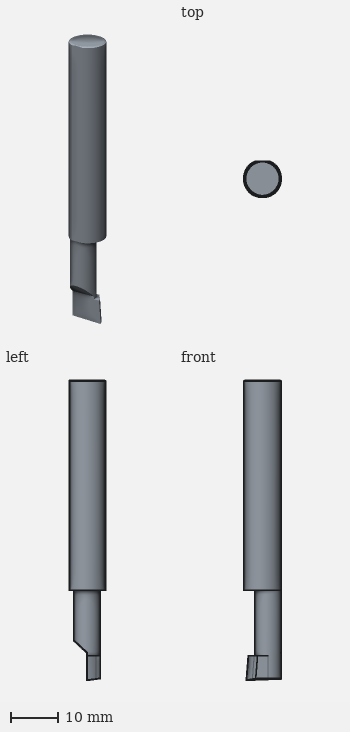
import cadquery as cq
import math

total_length = 63.5
shank_diameter = 7.95
shank_radius = shank_diameter / 2
depth_across_flat = 7.7
flat_y = depth_across_flat - shank_radius
chamfer_height = 0.2
chamfer_width = 0.4

neck_length = 19.05
neck_diameter = 5.65
neck_radius = neck_diameter / 2
neck_x = shank_radius - neck_radius

rake_height = 5.85
runout_angle = 43.0

head_height = 5.2
tip_x = -3.4
heel_x, heel_y = -2.2, -1.9
corner_x = -1.45
relief_bulge = 0.1
side_lean = 4.5
end_slope_x = 2.2
end_slope_y = 6.0

block_size = 4 * shank_diameter


def make_shank():
    shank = (
        cq.Workplane("XY").workplane(offset=neck_length)
        .circle(shank_radius).extrude(total_length - neck_length)
        .faces(">Z").chamfer(chamfer_height, chamfer_width)
    )
    behind_flat = (
        cq.Workplane("XY")
        .box(block_size, block_size, total_length, centered=(True, False, False))
        .translate((0, flat_y, 0))
    )
    return shank.cut(behind_flat)


def make_neck():
    neck = cq.Workplane("XY").center(neck_x, 0).circle(neck_radius).extrude(neck_length)
    runout_y = shank_diameter
    runout_height = rake_height + runout_y * math.tan(math.radians(runout_angle))
    rake_cut = (
        cq.Workplane("YZ")
        .polyline([(0, 0), (0, rake_height), (runout_y, runout_height), (runout_y, 0)])
        .close().extrude(shank_diameter, both=True)
    )
    return neck.cut(rake_cut)


def draw_head_section(workplane, shift):
    """Head section, with its relieved side moved along X by shift."""
    return (
        workplane.moveTo(neck_x, 0)
        .lineTo(tip_x + shift, 0)
        .sagittaArc((heel_x + shift, heel_y), -relief_bulge)
        .lineTo(corner_x + shift, -neck_radius)
        .lineTo(neck_x, -neck_radius)
        .close()
    )


def make_head():
    top_shift = head_height * math.tan(math.radians(side_lean))
    bottom_section = draw_head_section(cq.Workplane("XY"), 0)
    both_sections = draw_head_section(bottom_section.workplane(offset=head_height), top_shift)
    return both_sections.loft(ruled=True)


def make_end_relief():
    """Block under the end face, which rises from the tip toward +X and -Y."""
    normal = (
        -math.tan(math.radians(end_slope_x)),
        math.tan(math.radians(end_slope_y)),
        1,
    )
    end_plane = cq.Plane(origin=(tip_x, 0, 0), normal=normal)
    return cq.Workplane(end_plane).rect(block_size, block_size).extrude(-shank_diameter)


tip = make_neck().union(make_head()).cut(make_end_relief())
result = make_shank().union(tip)